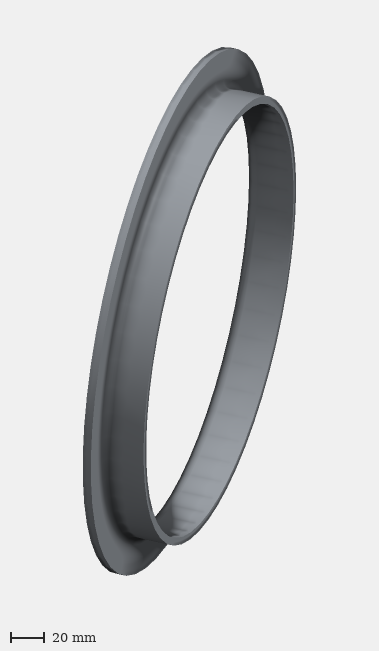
import cadquery as cq

flange_diameter = 320.0
tube_outer_diameter = 273.0
tube_inner_diameter = 263.7
total_length = 30.0
flange_thickness = 5.0
bore_lip_radius = 7.0
neck_fillet_radius = 4.8

flange_radius = flange_diameter / 2
tube_outer_radius = tube_outer_diameter / 2
tube_inner_radius = tube_inner_diameter / 2
neck_end_x = flange_thickness + neck_fillet_radius
neck_top_radius = tube_outer_radius + neck_fillet_radius
lip_edge_radius = tube_inner_radius + bore_lip_radius


def wall_section():
    """L-shaped wall section in the XY plane: X along the axis, Y outward."""
    return (
        cq.Workplane("XY")
        .moveTo(bore_lip_radius, tube_inner_radius)
        .lineTo(total_length, tube_inner_radius)
        .lineTo(total_length, tube_outer_radius)
        .lineTo(neck_end_x, tube_outer_radius)
        .radiusArc((flange_thickness, neck_top_radius), neck_fillet_radius)
        .lineTo(flange_thickness, flange_radius)
        .lineTo(0, flange_radius)
        .lineTo(0, lip_edge_radius)
        .radiusArc((bore_lip_radius, tube_inner_radius), -bore_lip_radius)
        .close()
    )


result = wall_section().revolve(360, (0, 0, 0), (1, 0, 0))